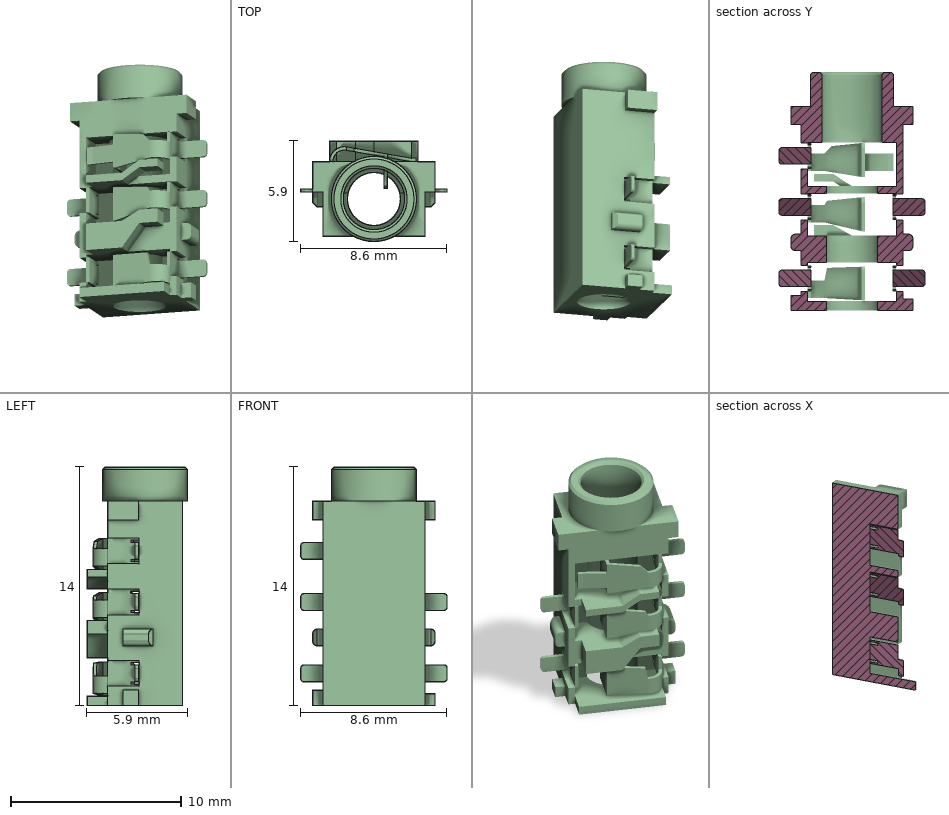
import cadquery as cq
import math


half_width = 3.0
front_y = -2.2
back_y = 2.2
block_height = 12.0
total_height = 14.0
collar_radius = 2.5
collar_chamfer = 0.15
mouth_radius = 1.8
bore_radius = 1.55

ear_reach = 3.6
seat_y = 0.4
shoulder_height = 1.1
boss_z = 4.0
boss_height = 1.0
boss_front_y = -0.46
boss_back_y = 1.29
boss_round = 0.3
boss_chamfer = 0.25
left_foot_height = 0.9
right_foot_height = 0.7

chamber_half_width = 2.6
chamber_floor_y = 0.35
upper_chamber_top = 9.85
floor_thickness = 0.55

step_start_x = -1.07
step_end_x = 0.0
upper_fence_top = 8.0
upper_fence_bottom = 7.55
upper_fence_drop = 0.7
lower_fence_top = 5.0
lower_fence_bottom = 4.2
lower_fence_top_drop = 0.6
lower_fence_bottom_drop = 1.4
fence_back_y = 3.4
fence_half_width = 2.2

metal = 0.2
plate_height = 1.5
tab_reach = 4.3
tab_width = 1.0
tab_round = 0.2
relief_width = 0.125
relief_top_y = 0.83
bend_radius = 0.87
arm_slope = math.radians(10)
arm_flare_x = -1.6
finger_x = 0.59
finger_tip_y = 0.62
tip_ramp = 0.14
tail_end_x = 2.47
tail_top_y = back_y + metal

contact_sets = [
    dict(z=9.08, strip=(8.18, 9.21), shoulder=(-1.17, 9.64), finger=(7.82, 9.82), ramp_height=0.25,
         tail=True, paired=False),
    dict(z=6.08, strip=(5.16, 6.19), shoulder=(-1.45, 6.43), finger=(4.64, 6.64), ramp_height=0.3,
         tail=False, paired=True),
    dict(z=1.89, strip=(0.72, 1.75), shoulder=(-1.45, 2.49), finger=(0.59, 2.56), ramp_height=0.15,
         tail=False, paired=True),
]


def block(x0, x1, y0, y1, z0, z1):
    """Box between opposite corners."""
    return cq.Workplane("XY").box(x1 - x0, y1 - y0, z1 - z0, centered=False).translate((x0, y0, z0))


def xz_prism(points, y0, y1):
    """Outline in X and Z, filled from y0 to y1."""
    return cq.Workplane("XZ", origin=(0, y0, 0)).polyline(points).close().extrude(y0 - y1)


def mirror_x(body):
    return body.mirror("YZ")


def stepped_edge(half_span, left_z, drop):
    """Points from -X to +X along a face that steps down near the middle."""
    return [
        (-half_span, left_z),
        (step_start_x, left_z),
        (step_end_x, left_z - drop),
        (half_span, left_z - drop),
    ]


def between(lower, upper, y0, y1):
    """Solid from y0 to y1 between a lower and an upper edge."""
    return xz_prism(lower + upper[::-1], y0, y1)


def make_boss():
    """Locating boss on the -X side: rounded along Y, with a sloped lead-in at the front."""
    bar = block(
        -ear_reach, -half_width, boss_front_y, boss_back_y,
        boss_z - boss_height / 2, boss_z + boss_height / 2,
    )
    bar = bar.edges("|Y and <X").fillet(boss_round)
    lead_in = (
        cq.Workplane("XY")
        .moveTo(-ear_reach, boss_front_y)
        .lineTo(-ear_reach + boss_chamfer, boss_front_y)
        .lineTo(-ear_reach, boss_front_y + boss_chamfer)
        .close()
        .extrude(block_height)
    )
    return bar.cut(lead_in)


def make_chambers():
    """Box-shaped chambers, parted by flat dividers that carry the lower run of each fence."""
    levels = [
        (upper_fence_top - upper_fence_drop, upper_chamber_top),
        (lower_fence_top - lower_fence_top_drop, upper_fence_bottom - upper_fence_drop),
        (floor_thickness, lower_fence_bottom - lower_fence_bottom_drop),
    ]
    return [
        block(-chamber_half_width, chamber_half_width, chamber_floor_y, back_y, low_z, high_z)
        for low_z, high_z in levels
    ]


def make_fences():
    span = fence_half_width
    y_range = (back_y, fence_back_y)
    upper = between(
        stepped_edge(span, upper_fence_bottom, upper_fence_drop),
        stepped_edge(span, upper_fence_top, upper_fence_drop),
        *y_range,
    )
    middle = between(
        stepped_edge(span, lower_fence_bottom, lower_fence_bottom_drop),
        stepped_edge(span, lower_fence_top, lower_fence_top_drop),
        *y_range,
    )
    bottom = block(-chamber_half_width, chamber_half_width, *y_range, 0, floor_thickness)
    return [upper, middle, bottom]


def make_housing():
    body = block(-half_width, half_width, front_y, back_y, 0, block_height)
    collar = (
        cq.Workplane("XY", origin=(0, 0, block_height))
        .circle(collar_radius)
        .extrude(total_height - block_height)
        .faces(">Z")
        .edges()
        .chamfer(collar_chamfer)
    )
    body = body.union(collar)

    shoulder = block(
        -ear_reach, -half_width, seat_y, back_y, block_height - shoulder_height, block_height
    )
    left_foot = block(-ear_reach, -half_width, seat_y, boss_back_y, 0, left_foot_height)
    right_foot = block(half_width, ear_reach, seat_y, boss_back_y, 0, right_foot_height)
    boss = make_boss()
    for feature in [shoulder, mirror_x(shoulder), boss, mirror_x(boss), left_foot, right_foot]:
        body = body.union(feature)

    for chamber in make_chambers():
        body = body.cut(chamber)
    for fence in make_fences():
        body = body.union(fence)

    body = body.cut(cq.Workplane("XY").circle(bore_radius).extrude(total_height))
    mouth = (
        cq.Workplane("XY", origin=(0, 0, upper_chamber_top))
        .circle(mouth_radius)
        .extrude(total_height - upper_chamber_top)
    )
    body = body.cut(mouth).faces(">Z").edges("%CIRCLE").edges(
        cq.selectors.RadiusNthSelector(0)
    ).chamfer(collar_chamfer)

    for contact in contact_sets:
        window = block(
            -half_width, -chamber_half_width, chamber_floor_y, back_y,
            contact["z"] - plate_height / 2, contact["z"] + plate_height / 2,
        )
        body = body.cut(window)
        if contact["paired"]:
            body = body.cut(mirror_x(window))
    return body


def make_tabbed_plate(z):
    """Plate closing a -X window, with a solder tab bent outward between two relief notches."""
    outer_x = -chamber_half_width
    inner_x = outer_x + metal
    body = block(
        outer_x, inner_x, chamber_floor_y, back_y, z - plate_height / 2, z + plate_height / 2
    )
    for side in (-1, 1):
        notch_z = z + side * (tab_width + relief_width) / 2
        notch = block(
            outer_x, inner_x, chamber_floor_y, relief_top_y,
            notch_z - relief_width / 2, notch_z + relief_width / 2,
        )
        body = body.cut(notch)
    tab = block(-tab_reach, inner_x, seat_y, seat_y + metal, z - tab_width / 2, z + tab_width / 2)
    tab = tab.edges("|Y and <X").fillet(tab_round)
    return body.union(tab)


def make_arm_sheet(end_x, has_tail):
    """Bent strip seen along Z: a bend from the plate, then an arm sloping toward +X."""
    center_x = -chamber_half_width + bend_radius
    inner_radius = bend_radius - metal

    def on_bend(radius, angle):
        return (center_x + radius * math.sin(angle), back_y + radius * math.cos(angle))

    def arm_y(radius, x):
        start_x, start_y = on_bend(radius, arm_slope)
        return start_y - (x - start_x) * math.tan(arm_slope)

    def arm_x(radius, y):
        start_x, start_y = on_bend(radius, arm_slope)
        return start_x + (start_y - y) / math.tan(arm_slope)

    bend_start = -math.pi / 2
    bend_middle = (bend_start + arm_slope) / 2
    sheet = (
        cq.Workplane("XY")
        .moveTo(*on_bend(bend_radius, bend_start))
        .threePointArc(on_bend(bend_radius, bend_middle), on_bend(bend_radius, arm_slope))
    )
    if has_tail:
        sheet = (
            sheet.lineTo(arm_x(bend_radius, tail_top_y), tail_top_y)
            .lineTo(end_x, tail_top_y)
            .lineTo(end_x, back_y)
            .lineTo(arm_x(inner_radius, back_y), back_y)
        )
    else:
        sheet = sheet.lineTo(end_x, arm_y(bend_radius, end_x)).lineTo(end_x, arm_y(inner_radius, end_x))
    sheet = (
        sheet.lineTo(*on_bend(inner_radius, arm_slope))
        .threePointArc(on_bend(inner_radius, bend_middle), on_bend(inner_radius, bend_start))
        .close()
        .extrude(block_height)
    )
    finger_root_y = arm_y((bend_radius + inner_radius) / 2, finger_x + metal)
    return sheet, finger_root_y


def make_finger(contact, root_y):
    """Blade reaching into the bore, its tip sloped off at the upper end."""
    low_z, high_z = contact["finger"]
    return (
        cq.Workplane("YZ", origin=(finger_x, 0, 0))
        .moveTo(root_y, low_z)
        .lineTo(finger_tip_y, low_z)
        .lineTo(finger_tip_y, high_z - contact["ramp_height"])
        .lineTo(finger_tip_y + tip_ramp, high_z)
        .lineTo(root_y, high_z)
        .close()
        .extrude(metal)
    )


def make_spring_contact(contact):
    strip_low, strip_high = contact["strip"]
    finger_low, finger_high = contact["finger"]
    finger_end_x = finger_x + metal
    end_x = tail_end_x if contact["tail"] else finger_end_x
    sheet, finger_root_y = make_arm_sheet(end_x, contact["tail"])
    outline = [
        (-chamber_half_width, strip_low),
        (arm_flare_x, strip_low),
        (finger_x, finger_low),
        (finger_end_x, finger_low),
        (finger_end_x, finger_high),
        (finger_x, finger_high),
        contact["shoulder"],
        (arm_flare_x, strip_high),
        (-chamber_half_width, strip_high),
    ]
    arm = sheet.intersect(xz_prism(outline, back_y, fence_back_y))
    if contact["tail"]:
        past_finger = block(finger_x, end_x, back_y, fence_back_y, strip_low, strip_high)
        arm = arm.union(sheet.intersect(past_finger))
    plate = make_tabbed_plate(contact["z"])
    return plate.union(arm).union(make_finger(contact, finger_root_y))


def make_rest_contact(contact):
    """Tabbed plate in the +X window."""
    return mirror_x(make_tabbed_plate(contact["z"]))


housing = make_housing()
spring_contacts = [make_spring_contact(contact) for contact in contact_sets]
rest_contacts = [make_rest_contact(contact) for contact in contact_sets if contact["paired"]]

result = cq.Compound.makeCompound(
    [body.solids().val() for body in [housing] + spring_contacts + rest_contacts]
)